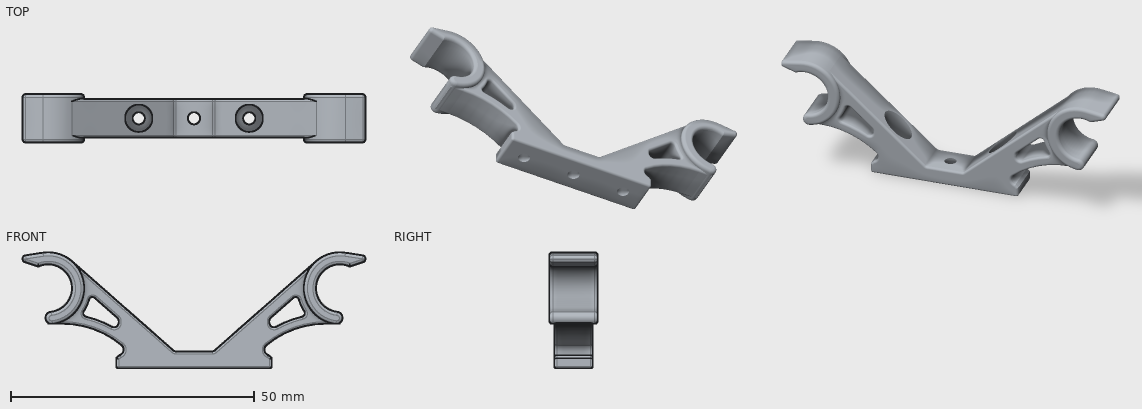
import cadquery as cq
import math

overall_length = 70.5

arm_width = 8.0
base_length = 32.0
foot_side_height = 2.1
saddle_height = 3.5
saddle_length = 8.05
saddle_fillet = 0.7
edge_fillet = 0.5
notch_radius = 1.2
notch_z = 3.9
notch_end_angle = -105.0

clip_width = 10.0
clip_outer_radius = 7.4
clip_inner_radius = 4.9
clip_x = 30.0
clip_z = 16.5
clip_round = 0.7
lip_slope = 8.7
mouth_angle = 65.0
tip_height = 1.2
jaw_angle = -96.5

arch_radius = 18.9
arch_x = 27.0
arch_top = 9.2

clip_wall = 1.35
arch_wall = 2.05
arm_wall = 2.6
window_end_x = 15.5
window_fillet = 0.7
window_end_fillet = 0.9

hole_diameter = 2.5
counterbore_diameter = 5.65
side_hole_x = 11.35

clip_center = (clip_x, clip_z)
arch_center = (arch_x, arch_top - arch_radius)
saddle_corner = (saddle_length / 2, saddle_height)


def polar(center, radius, degrees):
    """Point at a radius and angle from a center."""
    angle = math.radians(degrees)
    return (center[0] + radius * math.cos(angle), center[1] + radius * math.sin(angle))


def plate(outline, width):
    """Extrude an XZ outline symmetrically about the XZ plane."""
    return outline.close().extrude(width / 2, both=True)


def disc(center, radius):
    return cq.Workplane("XZ").center(*center).circle(radius).extrude(arm_width, both=True)


corner_to_clip = (clip_center[0] - saddle_corner[0], clip_center[1] - saddle_corner[1])
arm_slope = math.degrees(
    math.atan2(corner_to_clip[1], corner_to_clip[0])
    + math.asin(clip_outer_radius / math.hypot(*corner_to_clip))
)
arm_tangent = polar(clip_center, clip_outer_radius, arm_slope + 90)


def make_clip():
    lip_start = polar(clip_center, clip_outer_radius, 90 - lip_slope)
    tip_x = overall_length / 2
    tip_top = lip_start[1] - (tip_x - lip_start[0]) * math.tan(math.radians(lip_slope))
    jaw_center = polar(clip_center, (clip_outer_radius + clip_inner_radius) / 2, jaw_angle)
    jaw_inner = polar(clip_center, clip_inner_radius, jaw_angle)
    jaw_outer = polar(clip_center, clip_outer_radius, jaw_angle)
    jaw_end = polar(jaw_center, (clip_outer_radius - clip_inner_radius) / 2, jaw_angle + 90)
    outline = (
        cq.Workplane("XZ")
        .moveTo(*lip_start)
        .lineTo(tip_x, tip_top)
        .lineTo(tip_x, tip_top - tip_height)
        .lineTo(*polar(clip_center, clip_inner_radius, mouth_angle))
        .threePointArc((clip_x - clip_inner_radius, clip_z), jaw_inner)
        .threePointArc(jaw_end, jaw_outer)
        .threePointArc((clip_x - clip_outer_radius, clip_z), lip_start)
    )
    clip = plate(outline, clip_width)
    clip = clip.faces(">X").edges("|Y").fillet(clip_round)
    return clip.faces("<Y or >Y").edges().fillet(clip_round)


def make_arm():
    """Half of the body from the center plane out into the wall of the clip."""
    half_base = base_length / 2
    notch_offset = arch_radius - notch_radius
    notch_angle = 180 - math.degrees(math.asin((notch_z - arch_center[1]) / notch_offset))
    notch_center = polar(arch_center, notch_offset, notch_angle)
    notch_top = polar(arch_center, arch_radius, notch_angle)
    arch_end = (arch_x, arch_top)
    arch_middle = polar(arch_center, arch_radius, (90 + notch_angle) / 2)
    wall_radius = (clip_outer_radius + clip_inner_radius) / 2
    outline = (
        cq.Workplane("XZ")
        .lineTo(half_base, 0)
        .lineTo(half_base, foot_side_height)
        .lineTo(*polar(notch_center, notch_radius, notch_end_angle))
        .threePointArc((notch_center[0] - notch_radius, notch_z), notch_top)
        .threePointArc(arch_middle, arch_end)
        .lineTo(clip_x, arch_top)
        .lineTo(clip_x, clip_z - wall_radius)
        .threePointArc(
            polar(clip_center, wall_radius, 180),
            polar(clip_center, wall_radius, arm_slope + 90),
        )
        .lineTo(*arm_tangent)
        .lineTo(*saddle_corner)
        .lineTo(0, saddle_height)
    )
    return plate(outline, arm_width)


def make_window():
    """Cutter bounded by the clip, the arch and the top of the arm."""
    near_clip = disc(clip_center, clip_outer_radius + clip_wall)
    near_arch = disc(arch_center, arch_radius + arch_wall)
    slope = math.tan(math.radians(arm_slope))
    upper_x = clip_x
    drop = arm_wall / math.cos(math.radians(arm_slope))
    end_z = saddle_height + (window_end_x - saddle_corner[0]) * slope - drop
    upper_z = end_z + (upper_x - window_end_x) * slope
    below_arm = plate(
        cq.Workplane("XZ")
        .moveTo(window_end_x, 0)
        .lineTo(window_end_x, end_z)
        .lineTo(upper_x, upper_z)
        .lineTo(upper_x, 0),
        arm_width,
    )
    cutter = below_arm.cut(near_clip).cut(near_arch)
    cutter = cutter.faces("<X").edges("|Y").fillet(window_end_fillet)
    return cutter.faces(">X or >Z").edges("|Y").fillet(window_fillet)


def mirrored(half):
    return half.union(half.mirror("YZ"))


def make_body():
    body = mirrored(make_arm()).clean()
    corners = cq.selectors.BoxSelector(
        (-saddle_length, -arm_width, saddle_height - 0.1),
        (saddle_length, arm_width, saddle_height + 0.1),
    )
    body = body.edges("|Y").edges(corners).fillet(saddle_fillet)
    body = body.cut(mirrored(make_window()))
    return body.faces("<Y or >Y or <Z").edges().fillet(edge_fillet)


def cut_screw_holes(part):
    """Three through holes; the outer two are counterbored down to the saddle level."""
    holes = [(-side_hole_x, 0), (0, 0), (side_hole_x, 0)]
    part = part.cut(
        cq.Workplane("XY").pushPoints(holes).circle(hole_diameter / 2).extrude(overall_length)
    )
    counterbores = cq.Workplane("XY").workplane(offset=saddle_height)
    counterbores = counterbores.pushPoints(holes).circle(counterbore_diameter / 2)
    return part.cut(counterbores.extrude(overall_length))


result = cut_screw_holes(make_body().union(mirrored(make_clip())))